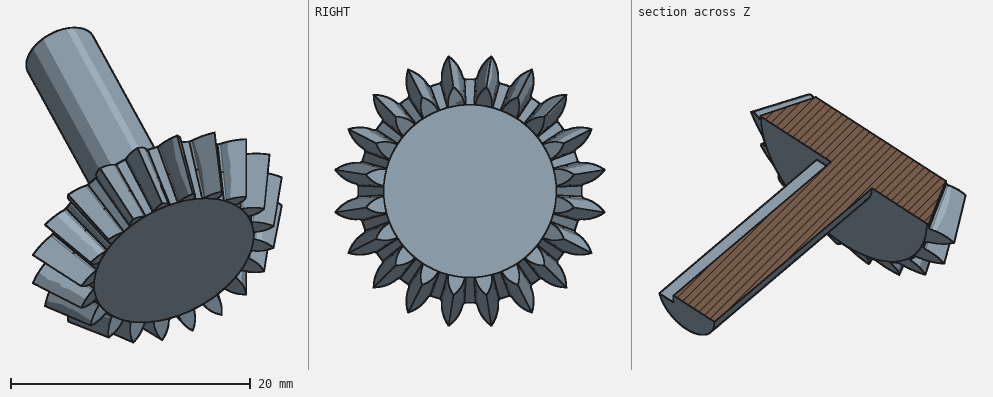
import cadquery as cq
import math

total_length = 25.5
tooth_count = 20
pitch_radius = 10.0
gear_ratio = 2.0
face_width = 5.1

outer_height = 22.5
root_radius = 9.34
back_disc_radius = 9.18
tooth_sink = 0.15

end_overrun = 1.79
tip_clearance = 1.02

tooth_mid_radius = 10.4
tooth_mid_half = 0.66
flank_foot_radius = 9.5
flank_foot_half = 0.9
root_fillet_half = 1.02
root_fillet_bulge = 0.03

shaft_radius = 3.1
keyway_width = 1.65
keyway_floor = 1.45

tooth_pitch = 360 / tooth_count
tip_radius = outer_height / 2 / math.cos(math.radians(tooth_pitch / 2))
pitch_depth = pitch_radius * gear_ratio
front_scale = 1 - face_width / math.hypot(pitch_radius, pitch_depth)
outer_depth = pitch_depth + end_overrun
inner_depth = front_scale * pitch_depth - end_overrun


def back_depth(radius):
    """Depth of the back cone, which is square to the pitch cone, at a radius."""
    return pitch_depth - (radius - pitch_radius) / gear_ratio


apex_x = total_length + front_scale * back_depth(tip_radius)
gear_back_x = apex_x - back_depth(back_disc_radius)
gear_front_x = apex_x - front_scale * back_depth(root_radius)


def back_point(radius):
    """(x, radius) of a point on the back cone."""
    return (apex_x - back_depth(radius), radius)


def front_point(radius):
    """The back cone point moved along its line to the apex, onto the front cone."""
    return (apex_x - front_scale * back_depth(radius), front_scale * radius)


def revolve_about_x(points):
    return cq.Workplane("XY").polyline(points).close().revolve(360, (0, 0, 0), (1, 0, 0))


def make_gear_blank():
    """Solid of revolution that bounds the gear: flat back, back cone, front cone, flat front."""
    beyond_tip = tip_radius + tip_clearance
    return revolve_about_x([
        (gear_back_x, 0),
        (gear_back_x, back_disc_radius),
        back_point(beyond_tip),
        front_point(beyond_tip),
        front_point(root_radius),
        (gear_front_x, 0),
    ])


def make_root_cone():
    """Core under the teeth, longer than the gear at both ends."""
    root_slope = root_radius / back_depth(root_radius)
    return revolve_about_x([
        (apex_x - outer_depth, 0),
        (apex_x - outer_depth, outer_depth * root_slope),
        (apex_x - inner_depth, inner_depth * root_slope),
        (apex_x - inner_depth, 0),
    ])


def tooth_section(depth):
    """Tooth outline at a depth, found by projecting the back cone outline from the apex."""
    def project(half_width, radius):
        scale = depth / back_depth(math.hypot(half_width, radius))
        return (half_width * scale, radius * scale)

    def side_points(side):
        fillet_mid_half = (flank_foot_half + root_fillet_half) / 2 - root_fillet_bulge
        fillet_mid_radius = (flank_foot_radius + root_radius) / 2 - root_fillet_bulge
        return {
            "base": project(side * root_fillet_half, root_radius - tooth_sink),
            "fillet_end": project(side * root_fillet_half, root_radius - root_fillet_bulge),
            "fillet_mid": project(side * fillet_mid_half, fillet_mid_radius),
            "foot": project(side * flank_foot_half, flank_foot_radius),
            "flank_mid": project(side * tooth_mid_half, tooth_mid_radius),
        }

    left = side_points(-1)
    right = side_points(1)
    outline = (
        cq.Workplane("YZ", origin=(apex_x - depth, 0, 0))
        .moveTo(*left["base"])
        .lineTo(*left["fillet_end"])
        .threePointArc(left["fillet_mid"], left["foot"])
        .threePointArc(left["flank_mid"], project(0, tip_radius))
        .threePointArc(right["flank_mid"], right["foot"])
        .threePointArc(right["fillet_mid"], right["fillet_end"])
        .lineTo(*right["base"])
        .close()
    )
    return outline.val()


def make_tooth():
    """Tapered tooth along +Z, longer than the gear at both ends."""
    sections = [tooth_section(outer_depth), tooth_section(inner_depth)]
    return cq.Workplane(cq.Solid.makeLoft(sections, True))


def make_gear():
    gear = make_root_cone()
    tooth = make_tooth()
    for index in range(tooth_count):
        angle = (index + 0.5) * tooth_pitch
        gear = gear.union(tooth.rotate((0, 0, 0), (1, 0, 0), angle))
    return gear.intersect(make_gear_blank())


def make_shaft():
    shaft = cq.Workplane("YZ").circle(shaft_radius).extrude(gear_back_x)
    keyway = (
        cq.Workplane("XY")
        .box(gear_back_x, shaft_radius, keyway_width, centered=(False, False, True))
        .translate((0, keyway_floor, 0))
    )
    return shaft.cut(keyway)


result = make_gear().union(make_shaft())